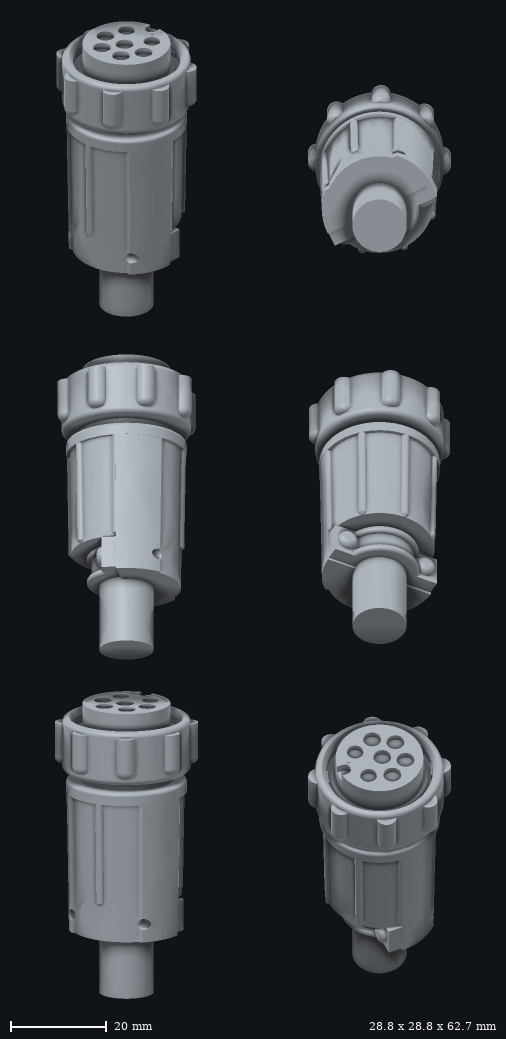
import cadquery as cq
import math

BODY_BOTTOM = 13.7
BACK_SHELL_BOTTOM = 21.3
COLLAR_BOTTOM = 43.45
COLLAR_TOP = 46.15
NUT_BOTTOM = 47.95
NUT_TOP = 59.4
OVERALL_HEIGHT = 62.7

CABLE_RADIUS = 5.65
NECK_RADIUS = 9.95
COLLAR_RADIUS = 12.6
COLLAR_ROUND = 0.75

SKIN_TOP_RADIUS = 12.55
SKIN_BOTTOM_RADIUS = 12.05
CORE_TOP_RADIUS = 11.85
CORE_BOTTOM_RADIUS = 11.35
STEP_TOP_Y = -9.0
STEP_BOTTOM_Y = -8.6

RIB_RADIUS = 0.9
RIB_CHAMFER = 0.55
RIB_LEAN = 0.4
FULL_RIB_ANGLES = (-90, 45, 90, 135)
SIDE_RIB_ANGLES = (0, 180)

SCREW_X = 8.5
SCREW_Z = 17.6
SCREW_HOLE_RADIUS = 1.2
SCREW_FLOOR_Y = -5.0

CLAMP_BOTTOM = 14.2
CLAMP_TOP = 20.95
EAR_HALF_WIDTH = 11.9
EAR_DEPTH = 3.1
STRAP_RADIUS = 7.3
RIM_RADIUS = 8.3
RIM_HEIGHT = 1.6
RIM_ROUND = 0.75
BOSS_RADIUS = 2.2
BOSS_HEIGHT = 1.45
BOSS_ROUND = 1.4
BOSS_X = 9.1

NUT_RADIUS = 13.4
NUT_ROUND = 1.1
NUT_BORE_RADIUS = 11.15
NUT_BORE_FLOOR = 56.4
NUT_MOUTH_RADIUS = 12.05
NUT_MOUTH_DEPTH = 1.2
GRIP_COUNT = 8
GRIP_FIRST_ANGLE = -17.0
GRIP_REACH = 14.39
GRIP_PITCH_RADIUS = 12.9
GRIP_RADIUS = GRIP_REACH - GRIP_PITCH_RADIUS * math.cos(math.radians(GRIP_FIRST_ANGLE))
GRIP_BOTTOM = 49.45
GRIP_TOP = NUT_TOP - NUT_ROUND
GRIP_ROUND = 1.45

LUG_INNER_RADIUS = 10.8
LUG_HEIGHT = 1.25
LUG_SPAN_ANGLE = 17.0
LUG_CENTER_ANGLES = (72.5, 252.5)

SEAL_OUTER_RADIUS = 10.35
SEAL_SECTION_RADIUS = 0.5

INSERT_RADIUS = 9.15
NUB_HEIGHT = 0.25
NUB_RADIUS = 0.4
NUB_POSITION = (1.55, 6.4)
INSERT_TOP = OVERALL_HEIGHT - NUB_HEIGHT
CONTACT_DEPTH = 1.4
CONTACT_RADIUS = 1.9
UPPER_CONTACT_RADIUS = 1.75
CONTACT_PITCH = 5.25
CONTACT_MIDDLE_Y = -0.6
CONTACT_LOWER_Y = -4.75
CONTACT_UPPER_X = 3.5
CONTACT_UPPER_Y = 4.0
KEYWAY_RADIUS = 1.3
KEYWAY_CENTER_Y = 7.9
KEYWAY_DEPTH = 1.9


def disc(radius, bottom, top):
    return cq.Workplane("XY").workplane(offset=bottom).circle(radius).extrude(top - bottom)


def cone(bottom_radius, top_radius, bottom, top):
    profile = [(0, bottom), (bottom_radius, bottom), (top_radius, top), (0, top)]
    return cq.Workplane("XZ").polyline(profile).close().revolve(360, (0, 0), (0, 1))


def back_half(bottom, top):
    """Block that covers everything behind the split plane y = 0."""
    block = cq.Workplane("XY").box(2 * NUT_RADIUS, NUT_RADIUS, top - bottom)
    return block.translate((0, NUT_RADIUS / 2, (bottom + top) / 2))


def make_shell():
    core = cone(CORE_BOTTOM_RADIUS, CORE_TOP_RADIUS, BODY_BOTTOM, COLLAR_BOTTOM)
    back_gap = back_half(BODY_BOTTOM, BACK_SHELL_BOTTOM)
    skin_band = (
        cq.Workplane("YZ")
        .polyline(
            [
                (0, BODY_BOTTOM),
                (STEP_BOTTOM_Y, BODY_BOTTOM),
                (STEP_TOP_Y, COLLAR_BOTTOM),
                (0, COLLAR_BOTTOM),
            ]
        )
        .close()
        .extrude(COLLAR_RADIUS, both=True)
    )
    skin = cone(SKIN_BOTTOM_RADIUS, SKIN_TOP_RADIUS, BODY_BOTTOM, COLLAR_BOTTOM).intersect(skin_band)
    collar = disc(COLLAR_RADIUS, COLLAR_BOTTOM, COLLAR_TOP).faces(">Z").edges().fillet(COLLAR_ROUND)
    return core.cut(back_gap).union(skin).union(collar)


def make_rib(angle):
    """Round rib that leans inward with the taper of the shell."""
    drop = COLLAR_BOTTOM - BACK_SHELL_BOTTOM
    start = cq.Vector(COLLAR_RADIUS - RIB_RADIUS, 0, COLLAR_BOTTOM)
    direction = cq.Vector(-RIB_LEAN, 0, -drop)
    rib = cq.Workplane(cq.Solid.makeCylinder(RIB_RADIUS, drop, start, direction))
    rib = rib.faces("<Z").edges().chamfer(RIB_CHAMFER)
    return rib.rotate((0, 0, 0), (0, 0, 1), angle)


def make_screw_holes():
    return (
        cq.Workplane("XZ", origin=(0, SCREW_FLOOR_Y, 0))
        .pushPoints([(-SCREW_X, SCREW_Z), (SCREW_X, SCREW_Z)])
        .circle(SCREW_HOLE_RADIUS)
        .extrude(COLLAR_RADIUS)
    )


def make_clamp():
    height = CLAMP_TOP - CLAMP_BOTTOM
    middle = (CLAMP_TOP + CLAMP_BOTTOM) / 2
    ears = cq.Workplane("XY").box(2 * EAR_HALF_WIDTH, EAR_DEPTH, height)
    ears = ears.translate((0, EAR_DEPTH / 2, middle))
    strap = disc(STRAP_RADIUS, CLAMP_BOTTOM, CLAMP_TOP)
    for rim_bottom in (CLAMP_BOTTOM, CLAMP_TOP - RIM_HEIGHT):
        rim = disc(RIM_RADIUS, rim_bottom, rim_bottom + RIM_HEIGHT)
        strap = strap.union(rim.edges().fillet(RIM_ROUND))
    strap = strap.intersect(back_half(CLAMP_BOTTOM, CLAMP_TOP))
    bosses = (
        cq.Workplane("XZ", origin=(0, EAR_DEPTH, 0))
        .pushPoints([(-BOSS_X, middle), (BOSS_X, middle)])
        .circle(BOSS_RADIUS)
        .extrude(-BOSS_HEIGHT)
        .faces(">Y")
        .edges()
        .fillet(BOSS_ROUND)
    )
    return ears.union(strap).union(bosses)


def make_nut():
    nut = disc(NUT_RADIUS, NUT_BOTTOM, NUT_TOP).edges().fillet(NUT_ROUND)
    grip = disc(GRIP_RADIUS, GRIP_BOTTOM, GRIP_TOP).faces("<Z").edges().fillet(GRIP_ROUND)
    grip = grip.translate((GRIP_PITCH_RADIUS, 0, 0))
    for index in range(GRIP_COUNT):
        angle = GRIP_FIRST_ANGLE + index * 360 / GRIP_COUNT
        nut = nut.union(grip.rotate((0, 0, 0), (0, 0, 1), angle))
    nut = nut.cut(disc(NUT_BORE_RADIUS, NUT_BORE_FLOOR, NUT_TOP))
    nut = nut.cut(cone(NUT_BORE_RADIUS, NUT_MOUTH_RADIUS, NUT_TOP - NUT_MOUTH_DEPTH, NUT_TOP))
    for angle in LUG_CENTER_ANGLES:
        nut = nut.union(make_lug(angle))
    return nut


def make_lug(angle):
    """Short arc of wall that stands inward from the nut bore."""
    top = NUT_BORE_FLOOR + LUG_HEIGHT
    ring = disc(NUT_RADIUS - NUT_ROUND, NUT_BORE_FLOOR, top)
    ring = ring.cut(disc(LUG_INNER_RADIUS, NUT_BORE_FLOOR, top))
    half_width = NUT_RADIUS * math.tan(math.radians(LUG_SPAN_ANGLE / 2))
    wedge = (
        cq.Workplane("XY")
        .workplane(offset=NUT_BORE_FLOOR)
        .polyline([(0, 0), (NUT_RADIUS, -half_width), (NUT_RADIUS, half_width)])
        .close()
        .extrude(LUG_HEIGHT)
    )
    return ring.intersect(wedge).rotate((0, 0, 0), (0, 0, 1), angle)


def make_seal():
    center_radius = SEAL_OUTER_RADIUS - SEAL_SECTION_RADIUS
    return cq.Workplane(
        cq.Solid.makeTorus(center_radius, SEAL_SECTION_RADIUS, cq.Vector(0, 0, NUT_BORE_FLOOR))
    )


def make_insert():
    insert = disc(INSERT_RADIUS, NUT_BORE_FLOOR, INSERT_TOP)
    half_pitch = CONTACT_PITCH / 2
    contacts = [(x, CONTACT_MIDDLE_Y) for x in (-CONTACT_PITCH, 0, CONTACT_PITCH)]
    contacts += [(x, CONTACT_LOWER_Y) for x in (-half_pitch, half_pitch)]
    upper_contacts = [(x, CONTACT_UPPER_Y) for x in (-CONTACT_UPPER_X, CONTACT_UPPER_X)]
    top_plane = cq.Workplane("XY").workplane(offset=INSERT_TOP)
    insert = insert.cut(top_plane.pushPoints(contacts).circle(CONTACT_RADIUS).extrude(-CONTACT_DEPTH))
    insert = insert.cut(
        top_plane.pushPoints(upper_contacts).circle(UPPER_CONTACT_RADIUS).extrude(-CONTACT_DEPTH)
    )
    keyway = (
        top_plane.moveTo(-KEYWAY_RADIUS, INSERT_RADIUS)
        .lineTo(-KEYWAY_RADIUS, KEYWAY_CENTER_Y)
        .threePointArc((0, KEYWAY_CENTER_Y - KEYWAY_RADIUS), (KEYWAY_RADIUS, KEYWAY_CENTER_Y))
        .lineTo(KEYWAY_RADIUS, INSERT_RADIUS)
        .close()
        .extrude(-KEYWAY_DEPTH)
    )
    nub = disc(NUB_RADIUS, INSERT_TOP, OVERALL_HEIGHT).translate((*NUB_POSITION, 0))
    return insert.cut(keyway).union(nub)


result = disc(CABLE_RADIUS, 0, COLLAR_BOTTOM)
result = result.union(make_shell())
for rib_angle in FULL_RIB_ANGLES:
    result = result.union(make_rib(rib_angle))
for rib_angle in SIDE_RIB_ANGLES:
    side_rib = make_rib(rib_angle).intersect(back_half(0, COLLAR_TOP))
    result = result.union(side_rib)
result = result.cut(make_screw_holes())
result = result.union(make_clamp())
result = result.union(disc(NECK_RADIUS, COLLAR_BOTTOM, NUT_BORE_FLOOR))
result = result.union(make_nut())
result = result.union(make_seal())
result = result.union(make_insert())